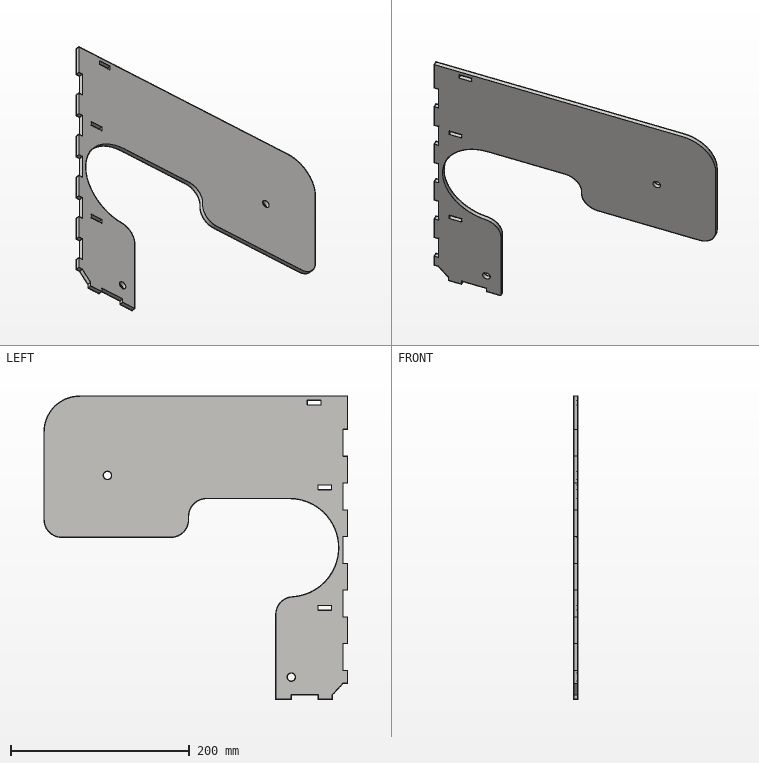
import cadquery as cq
import math

thickness = 5.0
length = 340.15
height = 340.0

tab_depth = thickness
tab_width = 30.0
tab_pitch = 2 * tab_width
notch_count = 5
top_tab_height = 37.5
lowest_tab_bottom = 18.0

leg_width = 80.5
foot_tab_back = 17.0
foot_notch_back = 33.0

head_bottom = 181.5
head_back = 178.0
head_top_radius = 40.0
corner_radius = 20.0

throat_radius = 55.0
throat_y = 65.0
throat_z = 170.0
arm_bottom = throat_z + throat_radius

slot_length = 15.0
slot_height = thickness
slot_places = [(30.0, 330.0), (18.0, 235.0), (18.0, 100.0)]

hole_diameter = 9.0
hole_places = [(63.0, 25.0), (269.0, 251.0)]


def point_on_circle(center, radius, angle):
    """Point on a circle at an angle in degrees, measured from +Y toward +Z."""
    turn = math.radians(angle)
    return (center[0] + radius * math.cos(turn), center[1] + radius * math.sin(turn))


def make_blank():
    """Plate outline without the notches in its edges."""
    corner_y = leg_width - corner_radius
    center_distance = throat_radius + corner_radius
    corner_z = throat_z - math.sqrt(center_distance**2 - (corner_y - throat_y) ** 2)
    corner = (corner_y, corner_z)
    throat = (throat_y, throat_z)
    touch_angle = math.degrees(math.atan2(throat_z - corner_z, throat_y - corner_y))
    touch_point = point_on_circle(corner, corner_radius, touch_angle)

    head_low_z = head_bottom + corner_radius
    head_front = (length - corner_radius, head_low_z)
    head_rear = (head_back + corner_radius, head_low_z)
    armpit = (head_back - corner_radius, arm_bottom - corner_radius)
    brow = (length - head_top_radius, height - head_top_radius)

    outline = (
        cq.Workplane("YZ")
        .moveTo(foot_tab_back, 0)
        .lineTo(leg_width, 0)
        .lineTo(leg_width, corner_z)
        .threePointArc(point_on_circle(corner, corner_radius, touch_angle / 2), touch_point)
        .threePointArc(point_on_circle(throat, throat_radius, 180), (throat_y, arm_bottom))
        .lineTo(armpit[0], arm_bottom)
        .threePointArc(point_on_circle(armpit, corner_radius, 45), (head_back, armpit[1]))
        .lineTo(head_back, head_low_z)
        .threePointArc(point_on_circle(head_rear, corner_radius, 225), (head_rear[0], head_bottom))
        .lineTo(head_front[0], head_bottom)
        .threePointArc(point_on_circle(head_front, corner_radius, 315), (length, head_low_z))
        .lineTo(length, brow[1])
        .threePointArc(point_on_circle(brow, head_top_radius, 45), (brow[0], height))
        .lineTo(0, height)
        .lineTo(0, lowest_tab_bottom)
        .lineTo(tab_depth, lowest_tab_bottom)
        .lineTo(foot_tab_back, tab_depth)
        .close()
    )
    return outline.extrude(thickness)


def cutter(y, z, width, tall):
    """Rectangular block through the plate, placed by its low Y, low Z corner."""
    return cq.Workplane("XY").box(thickness, width, tall, centered=False).translate((0, y, z))


def cut_notches(plate):
    """Notches along the back edge and one in the foot."""
    for index in range(notch_count):
        notch_bottom = height - top_tab_height - tab_width - index * tab_pitch
        plate = plate.cut(cutter(0, notch_bottom, tab_depth, tab_width))
    return plate.cut(cutter(foot_notch_back, 0, tab_width, tab_depth))


def cut_slots(plate):
    """Rectangular through slots."""
    for y, z in slot_places:
        plate = plate.cut(cutter(y, z, slot_length, slot_height))
    return plate


def cut_holes(plate):
    """Round through holes."""
    holes = cq.Workplane("YZ").pushPoints(hole_places).circle(hole_diameter / 2)
    return plate.cut(holes.extrude(thickness))


result = cut_holes(cut_slots(cut_notches(make_blank())))